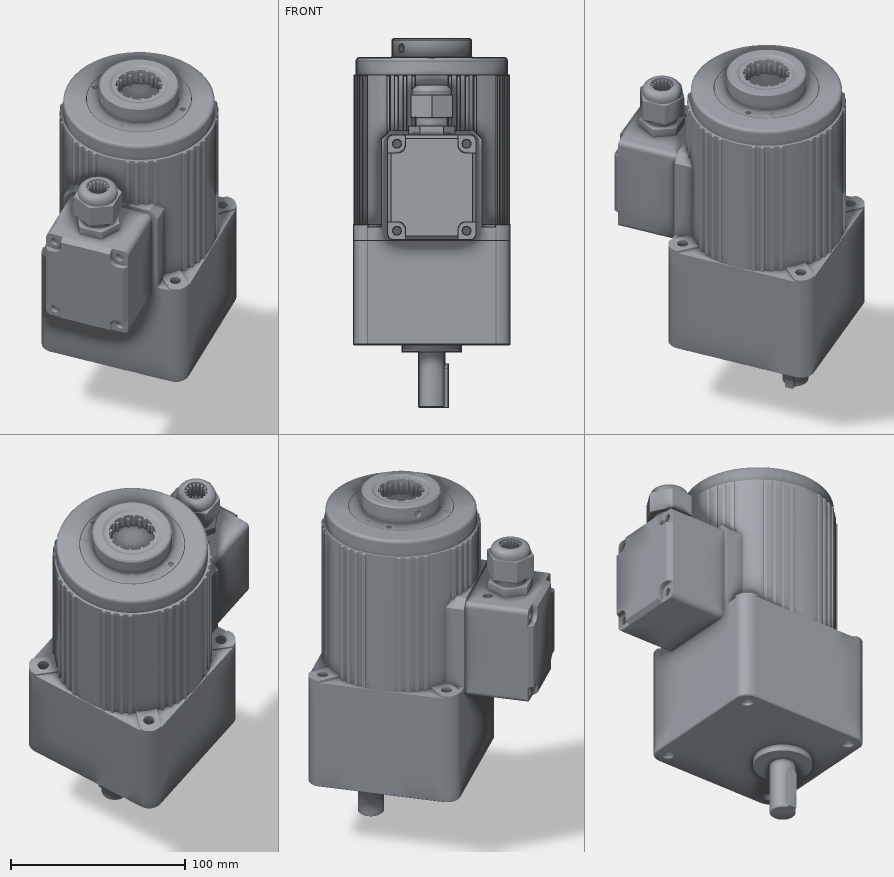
import cadquery as cq
import math


EDGE_CHAMFER = 0.5

BODY_WIDTH = 90.0
BODY_CORNER_RADIUS = 8.0
BOLT_CIRCLE = 104.0
BOLT_HOLE_DIA = 6.5
HALF_WIDTH = BODY_WIDTH / 2
BOLT_OFFSET = BOLT_CIRCLE / 2 / math.sqrt(2)

GEARBOX_HEIGHT = 60.0
OUTPUT_OFFSET = 18.0
BOSS_DIA = 34.0
BOSS_HEIGHT = 4.0
SHAFT_DIA = 15.0
SHAFT_END_Z = -36.0
KEY_WIDTH = 5.0
KEY_LENGTH = 25.0
KEY_PROTRUSION = 2.0

FLANGE_HEIGHT = 7.6
CORNER_PAD_RISE = 1.4
CORNER_PAD_WIDTH = 12.0
BARREL_RADIUS = 44.8
BARREL_TOP_Z = 155.0
RIB_RADIUS = 45.8
RIB_WIDTH = 2.0
FIRST_RIB_ANGLE = 13.2
RIB_PITCH_ANGLE = 6.63
RIBS_PER_GROUP = 4
BOX_SEAT_WIDTH = 58.0
BOX_SEAT_TOP_Z = 123.2
BOX_SEAT_CHAMFER = 5.0
FLANGE_TOP_Z = GEARBOX_HEIGHT + FLANGE_HEIGHT

CAP_RADIUS = 43.5
CAP_HEIGHT = 10.0
CAP_FILLET = 2.0
CAP_TOP_Z = BARREL_TOP_Z + CAP_HEIGHT
HUB_FLANGE_RADIUS = 30.0
RADIAL_GAP = 0.4
COLLAR_RADIUS = 22.75
COLLAR_HEIGHT = 11.0
COLLAR_CHAMFER = 0.8
SHOULDER_RADIUS = 23.2
SHOULDER_HEIGHT = 0.4
BORE_RADIUS = 13.4
BORE_DEPTH = 11.0
BORE_RECESS_RADIUS = 15.7
BORE_RECESS_MOUTH_RADIUS = 17.4
BORE_RECESS_DEPTH = 0.8
BORE_TOOTH_COUNT = 12
BORE_TOOTH_WIDTH = 1.4
BORE_TOOTH_TIP_RADIUS = 12.3
BORE_TOOTH_LENGTH = 7.5
SET_SCREW_DIA = 4.5
SET_SCREW_ANGLE = 220.0
SET_SCREW_RISE = 5.5
HUB_PATTERN_RADIUS = 27.0
HUB_DIMPLE_DIA = 3.2
HUB_DIMPLE_DEPTH = 0.2
HUB_DIMPLE_ANGLES = (30, 150, 270)
HUB_SCREW_ANGLES = (0, 180)
HUB_SCREW_HEAD_DIA = 3.6
HUB_SCREW_HEAD_DEPTH = 1.0
HUB_SCREW_CORE_DIA = 2.0
HUB_SCREW_CORE_DEPTH = 1.5
COLLAR_TOP_Z = CAP_TOP_Z + COLLAR_HEIGHT

BOX_WIDTH = 50.6
BOX_HEIGHT = 60.0
BOX_BOTTOM_Z = 60.5
BOX_FRONT_Y = -85.0
COVER_THICKNESS = 3.0
COVER_EDGE_SLOPE = 2.0
BOX_CORNER_RADIUS = 3.0
SCREW_PAD_SIZE = 10.2
SCREW_PAD_RADIUS = 4.5
SCREW_SPACING_X = 40.0
SCREW_SPACING_Z = 50.0
SCREW_HOLE_DIA = 5.0
SCREW_HOLE_DEPTH = 8.0
DRAIN_HOLE_DIA = 6.0
DRAIN_HOLE_DEPTH = 2.0
DRAIN_HOLE_X = -13.0
DRAIN_HOLE_Y = -55.0
BOX_TOP_Z = BOX_BOTTOM_Z + BOX_HEIGHT
BOX_MID_Z = BOX_BOTTOM_Z + BOX_HEIGHT / 2

GLAND_Y = -65.0
GLAND_BASE_FLATS = 23.0
GLAND_BASE_HEIGHT = 5.2
GLAND_NECK_DIA = 18.3
GLAND_NECK_HEIGHT = 5.0
GLAND_NUT_FLATS = 24.0
GLAND_NUT_HEIGHT = 12.9
GLAND_DOME_DIA = 22.8
GLAND_DOME_HEIGHT = 5.7
GLAND_DOME_FILLET = 4.0
GLAND_BORE_RADIUS = 6.7
GLAND_BORE_DEPTH = 12.0
GLAND_FINGER_COUNT = 16
GLAND_FINGER_WIDTH = 0.9
GLAND_FINGER_SETBACK = 1.5
GLAND_FINGER_TIP_RADIUS = 5.2


def disc(radius, bottom, height):
    return cq.Workplane("XY").workplane(offset=bottom).circle(radius).extrude(height)


def square_block(bottom, height):
    block = cq.Workplane("XY").workplane(offset=bottom).rect(BODY_WIDTH, BODY_WIDTH).extrude(height)
    return block.edges("|Z").fillet(BODY_CORNER_RADIUS)


def bolt_holes(bottom, height):
    return (
        cq.Workplane("XY")
        .workplane(offset=bottom)
        .rect(2 * BOLT_OFFSET, 2 * BOLT_OFFSET, forConstruction=True)
        .vertices()
        .circle(BOLT_HOLE_DIA / 2)
        .extrude(height)
    )


def inward_teeth(count, width, tip_radius, root_radius, bottom, height):
    """Straight teeth on the wall of a bore, slightly sunk into the wall."""
    wall_overlap = 0.3
    length = root_radius - tip_radius + wall_overlap
    return (
        cq.Workplane("XY")
        .workplane(offset=bottom)
        .polarArray(tip_radius + length / 2, 0, 360, count)
        .rect(length, width)
        .extrude(height)
    )


def hexagon(across_flats, bottom, height, turn):
    corner_dia = across_flats / math.cos(math.pi / 6)
    prism = cq.Workplane("XY").workplane(offset=bottom).polygon(6, corner_dia).extrude(height)
    return prism.rotate((0, 0, 0), (0, 0, 1), turn)


def make_gearbox():
    body = square_block(0, GEARBOX_HEIGHT).faces("<Z").chamfer(EDGE_CHAMFER)
    boss = disc(BOSS_DIA / 2, -BOSS_HEIGHT, BOSS_HEIGHT).translate((0, OUTPUT_OFFSET, 0))
    return body.union(boss).cut(bolt_holes(0, GEARBOX_HEIGHT))


def make_output_shaft():
    """Keyed shaft that starts at the boss face; the key has a round inner end."""
    shaft = disc(SHAFT_DIA / 2, SHAFT_END_Z, -BOSS_HEIGHT - SHAFT_END_Z)
    shaft = shaft.faces("<Z").chamfer(EDGE_CHAMFER)
    straight_length = KEY_LENGTH - KEY_WIDTH / 2
    key = (
        cq.Workplane("YZ")
        .moveTo(-KEY_WIDTH / 2, SHAFT_END_Z)
        .lineTo(KEY_WIDTH / 2, SHAFT_END_Z)
        .line(0, straight_length)
        .threePointArc((0, SHAFT_END_Z + KEY_LENGTH), (-KEY_WIDTH / 2, SHAFT_END_Z + straight_length))
        .close()
        .extrude(SHAFT_DIA / 2 + KEY_PROTRUSION)
    )
    return shaft.union(key).translate((0, OUTPUT_OFFSET, 0))


def rib_angles():
    """Ribs lie in mirrored groups on both sides of each of the four axis directions."""
    angles = []
    for axis_angle in range(0, 360, 90):
        for i in range(RIBS_PER_GROUP):
            offset = FIRST_RIB_ANGLE + i * RIB_PITCH_ANGLE
            angles += [axis_angle + offset, axis_angle - offset]
    return angles


def make_barrel():
    height = BARREL_TOP_Z - GEARBOX_HEIGHT
    barrel = disc(BARREL_RADIUS, GEARBOX_HEIGHT, height)
    rib_root = BARREL_RADIUS - 1
    for angle in rib_angles():
        rib = (
            cq.Workplane("XY")
            .box(RIB_RADIUS - rib_root, RIB_WIDTH, height, centered=(False, True, False))
            .translate((rib_root, 0, GEARBOX_HEIGHT))
            .rotate((0, 0, 0), (0, 0, 1), angle)
        )
        barrel = barrel.union(rib)
    envelope = disc(RIB_RADIUS, GEARBOX_HEIGHT, height).faces(">Z").chamfer(EDGE_CHAMFER)
    return barrel.intersect(envelope)


def make_corner_pads():
    """Two crossed diagonal bars, trimmed to the outline of the flange."""
    pads = square_block(GEARBOX_HEIGHT, FLANGE_HEIGHT + CORNER_PAD_RISE)
    bars = cq.Workplane("XY").workplane(offset=GEARBOX_HEIGHT)
    bars = bars.rect(2 * BODY_WIDTH, CORNER_PAD_WIDTH).extrude(FLANGE_HEIGHT + CORNER_PAD_RISE)
    bars = bars.rotate((0, 0, 0), (0, 0, 1), 45)
    return pads.intersect(bars.union(bars.mirror("YZ")))


def make_motor_frame():
    flange = square_block(GEARBOX_HEIGHT, FLANGE_HEIGHT).union(make_corner_pads())
    flange = flange.cut(bolt_holes(GEARBOX_HEIGHT, FLANGE_HEIGHT + CORNER_PAD_RISE))
    seat = (
        cq.Workplane("XY")
        .box(BOX_SEAT_WIDTH, HALF_WIDTH, BOX_SEAT_TOP_Z - FLANGE_TOP_Z, centered=(True, False, False))
        .edges(">Z and |Y")
        .chamfer(BOX_SEAT_CHAMFER)
        .translate((0, -HALF_WIDTH, FLANGE_TOP_Z))
    )
    return make_barrel().union(flange).union(seat)


def make_end_cap():
    cap = disc(CAP_RADIUS, BARREL_TOP_Z, CAP_HEIGHT).faces(">Z").edges().fillet(CAP_FILLET)
    return cap.cut(disc(HUB_FLANGE_RADIUS + RADIAL_GAP, BARREL_TOP_Z, CAP_HEIGHT))


def hub_holes(diameter, depth, angles):
    points = []
    for angle in angles:
        turn = math.radians(angle)
        points.append((HUB_PATTERN_RADIUS * math.cos(turn), HUB_PATTERN_RADIUS * math.sin(turn)))
    sketch = cq.Workplane("XY").workplane(offset=CAP_TOP_Z).pushPoints(points)
    return sketch.circle(diameter / 2).extrude(-depth)


def cut_hub_bore(hub):
    hub = hub.cut(disc(BORE_RADIUS, COLLAR_TOP_Z - BORE_DEPTH, BORE_DEPTH))
    recess = (
        cq.Workplane("XY")
        .workplane(offset=COLLAR_TOP_Z - BORE_RECESS_DEPTH)
        .circle(BORE_RECESS_RADIUS)
        .workplane(offset=BORE_RECESS_DEPTH)
        .circle(BORE_RECESS_MOUTH_RADIUS)
        .loft()
    )
    hub = hub.cut(recess)
    upper_row_z = COLLAR_TOP_Z - BORE_RECESS_DEPTH - BORE_TOOTH_LENGTH
    lower_row_z = COLLAR_TOP_Z - BORE_DEPTH
    half_pitch = 180 / BORE_TOOTH_COUNT
    for row_z, row_turn in ((upper_row_z, 0), (lower_row_z, half_pitch)):
        teeth = inward_teeth(
            BORE_TOOTH_COUNT,
            BORE_TOOTH_WIDTH,
            BORE_TOOTH_TIP_RADIUS,
            BORE_RADIUS,
            row_z,
            BORE_TOOTH_LENGTH,
        )
        hub = hub.union(teeth.rotate((0, 0, 0), (0, 0, 1), row_turn))
    return hub


def make_hub():
    hub = disc(HUB_FLANGE_RADIUS, BARREL_TOP_Z, CAP_HEIGHT)
    collar = disc(COLLAR_RADIUS, CAP_TOP_Z, COLLAR_HEIGHT).faces(">Z").chamfer(COLLAR_CHAMFER)
    hub = hub.union(collar)
    hub = hub.union(disc(SHOULDER_RADIUS, CAP_TOP_Z, SHOULDER_HEIGHT))
    hub = cut_hub_bore(hub)
    set_screw_hole = (
        cq.Workplane("YZ")
        .workplane(offset=BORE_RADIUS)
        .center(0, CAP_TOP_Z + SET_SCREW_RISE)
        .circle(SET_SCREW_DIA / 2)
        .extrude(COLLAR_RADIUS)
        .rotate((0, 0, 0), (0, 0, 1), SET_SCREW_ANGLE)
    )
    hub = hub.cut(set_screw_hole)
    hub = hub.cut(hub_holes(HUB_DIMPLE_DIA, HUB_DIMPLE_DEPTH, HUB_DIMPLE_ANGLES))
    hub = hub.cut(hub_holes(HUB_SCREW_HEAD_DIA, HUB_SCREW_HEAD_DEPTH, HUB_SCREW_ANGLES))
    return hub.cut(hub_holes(HUB_SCREW_CORE_DIA, HUB_SCREW_CORE_DEPTH, HUB_SCREW_ANGLES))


def cut_screw_corners(box):
    """Sink a pad into each corner of the cover and drill its screw hole."""
    box_face_y = BOX_FRONT_Y + COVER_THICKNESS
    for side in (-1, 1):
        for level in (-1, 1):
            corner_x = side * BOX_WIDTH / 2
            corner_z = BOX_MID_Z + level * BOX_HEIGHT / 2
            pocket = (
                cq.Workplane("XY")
                .box(2 * SCREW_PAD_SIZE, COVER_THICKNESS, 2 * SCREW_PAD_SIZE)
                .edges("|Y")
                .fillet(SCREW_PAD_RADIUS)
                .translate((corner_x, box_face_y - COVER_THICKNESS / 2, corner_z))
            )
            hole = (
                cq.Workplane("XZ")
                .center(side * SCREW_SPACING_X / 2, BOX_MID_Z + level * SCREW_SPACING_Z / 2)
                .circle(SCREW_HOLE_DIA / 2)
                .extrude(-SCREW_HOLE_DEPTH)
                .translate((0, box_face_y, 0))
            )
            box = box.cut(pocket).cut(hole)
    return box


def box_outline(start_y):
    outline = cq.Sketch().rect(BOX_WIDTH, BOX_HEIGHT).vertices().fillet(BOX_CORNER_RADIUS)
    return cq.Workplane("XZ", origin=(0, start_y, BOX_MID_Z)).placeSketch(outline)


def make_terminal_box():
    cover_back_y = BOX_FRONT_Y + COVER_THICKNESS
    cover_taper = math.degrees(math.atan2(COVER_EDGE_SLOPE, COVER_THICKNESS))
    box = box_outline(-HALF_WIDTH).extrude(-HALF_WIDTH - cover_back_y)
    cover = box_outline(cover_back_y).extrude(COVER_THICKNESS, taper=cover_taper)
    box = box.union(cover)
    box = cut_screw_corners(box)
    drain_hole = disc(DRAIN_HOLE_DIA / 2, BOX_TOP_Z - DRAIN_HOLE_DEPTH, DRAIN_HOLE_DEPTH)
    return box.cut(drain_hole.translate((DRAIN_HOLE_X, DRAIN_HOLE_Y, 0)))


def make_cable_gland():
    neck_z = BOX_TOP_Z + GLAND_BASE_HEIGHT
    nut_z = neck_z + GLAND_NECK_HEIGHT
    dome_z = nut_z + GLAND_NUT_HEIGHT
    top_z = dome_z + GLAND_DOME_HEIGHT
    dome = disc(GLAND_DOME_DIA / 2, dome_z, GLAND_DOME_HEIGHT).faces(">Z").edges().fillet(GLAND_DOME_FILLET)
    gland = (
        hexagon(GLAND_BASE_FLATS, BOX_TOP_Z, GLAND_BASE_HEIGHT, 0)
        .union(disc(GLAND_NECK_DIA / 2, neck_z, GLAND_NECK_HEIGHT))
        .union(hexagon(GLAND_NUT_FLATS, nut_z, GLAND_NUT_HEIGHT, 90))
        .union(dome)
        .cut(disc(GLAND_BORE_RADIUS, top_z - GLAND_BORE_DEPTH, GLAND_BORE_DEPTH))
    )
    fingers = inward_teeth(
        GLAND_FINGER_COUNT,
        GLAND_FINGER_WIDTH,
        GLAND_FINGER_TIP_RADIUS,
        GLAND_BORE_RADIUS,
        top_z - GLAND_BORE_DEPTH,
        GLAND_BORE_DEPTH - GLAND_FINGER_SETBACK,
    )
    return gland.union(fingers).translate((0, GLAND_Y, 0))


gearbox = make_gearbox()
output_shaft = make_output_shaft()
motor_frame = make_motor_frame()
end_cap = make_end_cap()
hub = make_hub()
terminal_box = make_terminal_box()
cable_gland = make_cable_gland()

result = cq.Compound.makeCompound(
    [
        gearbox.val(),
        output_shaft.val(),
        motor_frame.val(),
        end_cap.val(),
        hub.val(),
        terminal_box.val(),
        cable_gland.val(),
    ]
)